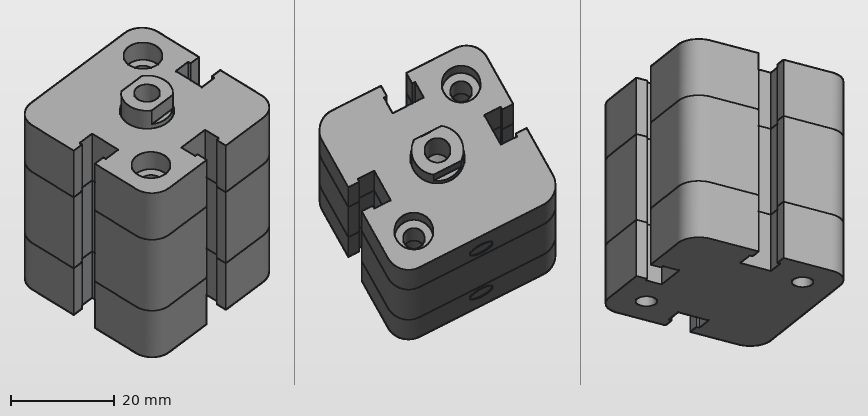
import cadquery as cq
import math

body_width = 36.0
overall_height = 47.5
rod_projection = 4.5
cap_height = 12.2
corner_radius = 4.5
body_height = overall_height - rod_projection
barrel_height = body_height - 2 * cap_height
top_cap_base = cap_height + barrel_height

slot_mouth_width = 5.5
slot_inner_width = 6.8
slot_lip_depth = 2.4
slot_depth = 6.0
slot_angles = (-90, 0, 90)

mounting_offset = 11.0
mounting_diameter = 4.2
counterbore_diameter = 7.5
counterbore_depth = 4.5
mounting_points = [(-mounting_offset, mounting_offset), (mounting_offset, -mounting_offset)]

port_diameter = 5.0
port_depth = 0.2
port_edge_distance = 8.0

rod_diameter = 10.0
rod_bore_diameter = 10.5
flats_width = 8.05
flats_height = 3.6
rod_hole_diameter = 5.0
rod_hole_depth = 10.0
rod_hole_tip_angle = 118
rod_hole_tip_depth = rod_hole_diameter / 2 / math.tan(math.radians(rod_hole_tip_angle / 2))


def t_slot(base, height, angle):
    """Cutter for one T-slot, open at the side that faces the given angle."""
    side = body_width / 2
    mouth = cq.Workplane("XY").box(
        slot_depth, slot_mouth_width, height, centered=(False, True, False)
    )
    inner = cq.Workplane("XY").box(
        slot_depth - slot_lip_depth, slot_inner_width, height, centered=(False, True, False)
    )
    cutter = mouth.union(inner).translate((side - slot_depth, 0, base))
    return cutter.rotate((0, 0, 0), (0, 0, 1), angle)


def profile_block(base, height):
    """Rounded square block with the T-slots and the mounting holes through it."""
    block = (
        cq.Workplane("XY", origin=(0, 0, base))
        .rect(body_width, body_width)
        .extrude(height)
        .edges("|Z")
        .fillet(corner_radius)
    )
    for angle in slot_angles:
        block = block.cut(t_slot(base, height, angle))
    holes = (
        cq.Workplane("XY", origin=(0, 0, base))
        .pushPoints(mounting_points)
        .circle(mounting_diameter / 2)
        .extrude(height)
    )
    return block.cut(holes)


def port(height):
    """Cutter for one air port, entering from the -X side."""
    return (
        cq.Workplane("YZ", origin=(-body_width / 2, 0, height))
        .circle(port_diameter / 2)
        .extrude(port_depth)
    )


def make_bottom_cap():
    return profile_block(0, cap_height).cut(port(port_edge_distance))


def make_barrel():
    return profile_block(cap_height, barrel_height)


def make_top_cap():
    counterbores = (
        cq.Workplane("XY", origin=(0, 0, body_height))
        .pushPoints(mounting_points)
        .circle(counterbore_diameter / 2)
        .extrude(-counterbore_depth)
    )
    rod_bore = (
        cq.Workplane("XY", origin=(0, 0, top_cap_base))
        .circle(rod_bore_diameter / 2)
        .extrude(cap_height)
    )
    cap = profile_block(top_cap_base, cap_height).cut(port(body_height - port_edge_distance))
    return cap.cut(counterbores).cut(rod_bore)


def make_rod():
    """Rod standing on the barrel and passing through the top cap with clearance."""
    rod = (
        cq.Workplane("XY", origin=(0, 0, top_cap_base))
        .circle(rod_diameter / 2)
        .extrude(overall_height - top_cap_base)
    )

    flats_base = overall_height - flats_height
    flats_zone = (
        cq.Workplane("XY", origin=(0, 0, flats_base))
        .rect(rod_diameter, rod_diameter)
        .rect(flats_width, rod_diameter)
        .extrude(flats_height)
    )

    hole_radius = rod_hole_diameter / 2
    hole_floor = overall_height - rod_hole_depth
    drill = (
        cq.Workplane("XZ")
        .moveTo(0, overall_height)
        .lineTo(hole_radius, overall_height)
        .lineTo(hole_radius, hole_floor)
        .lineTo(0, hole_floor - rod_hole_tip_depth)
        .close()
        .revolve(360, (0, 0, 0), (0, 1, 0))
    )
    return rod.cut(flats_zone).cut(drill)


bottom_cap = make_bottom_cap()
barrel = make_barrel()
top_cap = make_top_cap()
rod = make_rod()

result = cq.Compound.makeCompound([bottom_cap.val(), barrel.val(), top_cap.val(), rod.val()])